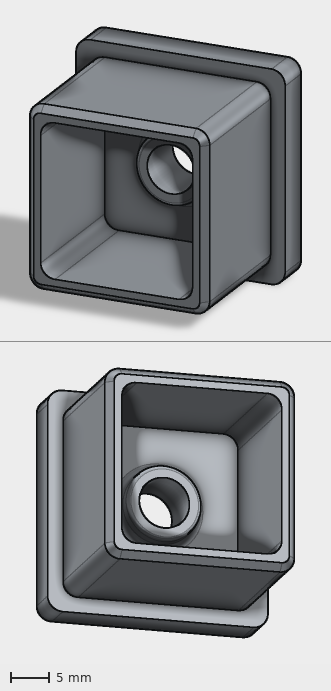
import cadquery as cq

plate_size = 30.0
plate_thickness = 5.0
plug_size = 25.8
plug_length = 19.98
corner_radius = 2.0
lead_in_chamfer = 1.0

wall = 2.0
cavity_size = plug_size - 2 * wall
cavity_corner_radius = corner_radius
cavity_depth = plug_length

boss_diameter = 10.2
boss_height = 3.0
boss_base_fillet = 1.0
boss_rim_fillet = boss_base_fillet / 2
hole_diameter = 6.8

total_length = plug_length + plate_thickness


def rounded_square_bar(size, radius, start, length):
    """Square bar centred on the Y axis with rounded lengthwise edges, from y = start."""
    bar = cq.Workplane("XZ", origin=(0, start, 0)).rect(size, size).extrude(-length)
    return bar.edges("|Y").fillet(radius)


def boss_profile():
    """Half section of the boss, x being the radius and y the position along the part."""
    radius = boss_diameter / 2
    floor = cavity_depth
    top = floor - boss_height
    embed = (total_length - floor) / 2
    return (
        cq.Workplane("XY")
        .moveTo(0, floor + embed)
        .lineTo(radius + boss_base_fillet, floor + embed)
        .lineTo(radius + boss_base_fillet, floor)
        .radiusArc((radius, floor - boss_base_fillet), -boss_base_fillet)
        .lineTo(radius, top + boss_rim_fillet)
        .radiusArc((radius - boss_rim_fillet, top), boss_rim_fillet)
        .lineTo(0, top)
        .close()
    )


def make_boss():
    return boss_profile().revolve(360, (0, 0, 0), (0, 1, 0))


def make_hole():
    return cq.Workplane("XZ").circle(hole_diameter / 2).extrude(-total_length)


plate = rounded_square_bar(plate_size, corner_radius, plug_length, plate_thickness)
plug = rounded_square_bar(plug_size, corner_radius, 0, plug_length)
plug = plug.faces("<Y").chamfer(lead_in_chamfer)
cavity = rounded_square_bar(cavity_size, cavity_corner_radius, 0, cavity_depth)

result = plug.union(plate).cut(cavity).union(make_boss()).cut(make_hole())